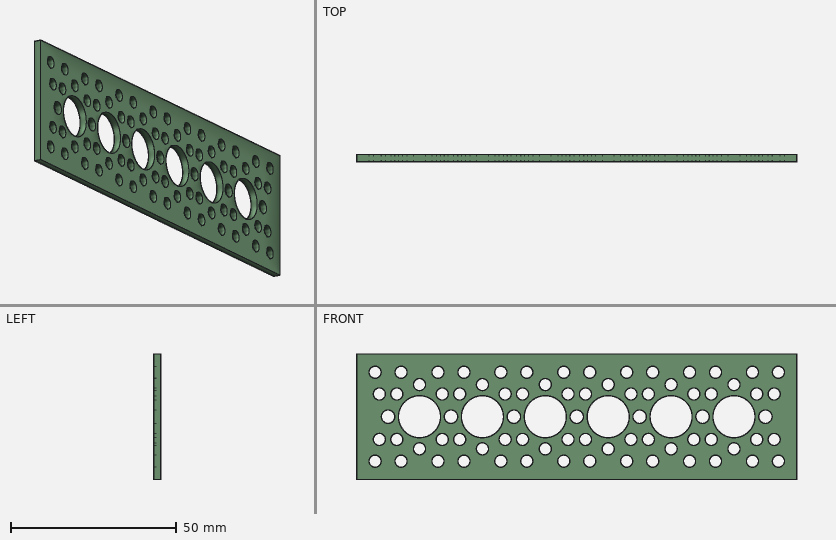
import cadquery as cq
import math

plate_length = 133.4
plate_thickness = 2.3
plate_height = 38.1

large_hole_count = 6
pitch = plate_length / (large_hole_count + 1)
large_hole_diameter = 12.7
small_hole_diameter = 3.6
junction_hole_diameter = 4.0
ring_radius = 9.7
outer_row_height = 13.5
outer_pair_spacing = 7.9


def row_positions(count):
    """X positions of a centred row at the pattern pitch."""
    return [(i - (count - 1) / 2) * pitch for i in range(count)]


def drill(plate, points, diameter):
    """Cut holes right through the plate thickness at the given (x, z) points."""
    return plate.faces("<Y").workplane(origin=(0, 0, 0)).pushPoints(points).hole(diameter)


large_hole_positions = row_positions(large_hole_count)
junction_positions = row_positions(large_hole_count + 1)

diagonal_offset = ring_radius * math.sin(math.radians(45))
diagonal_pair_offset = pitch / 2 - diagonal_offset
outer_pair_offset = outer_pair_spacing / 2

large_points = [(x, 0) for x in large_hole_positions]
junction_points = [(x, 0) for x in junction_positions]
small_points = [(x, side * ring_radius) for x in large_hole_positions for side in (-1, 1)]
for pair_offset, row_height in (
    (diagonal_pair_offset, diagonal_offset),
    (outer_pair_offset, outer_row_height),
):
    small_points += [
        (x + x_side * pair_offset, z_side * row_height)
        for x in junction_positions
        for x_side in (-1, 1)
        for z_side in (-1, 1)
    ]

result = cq.Workplane("XY").box(plate_length, plate_thickness, plate_height)
result = drill(result, large_points, large_hole_diameter)
result = drill(result, junction_points, junction_hole_diameter)
result = drill(result, small_points, small_hole_diameter)